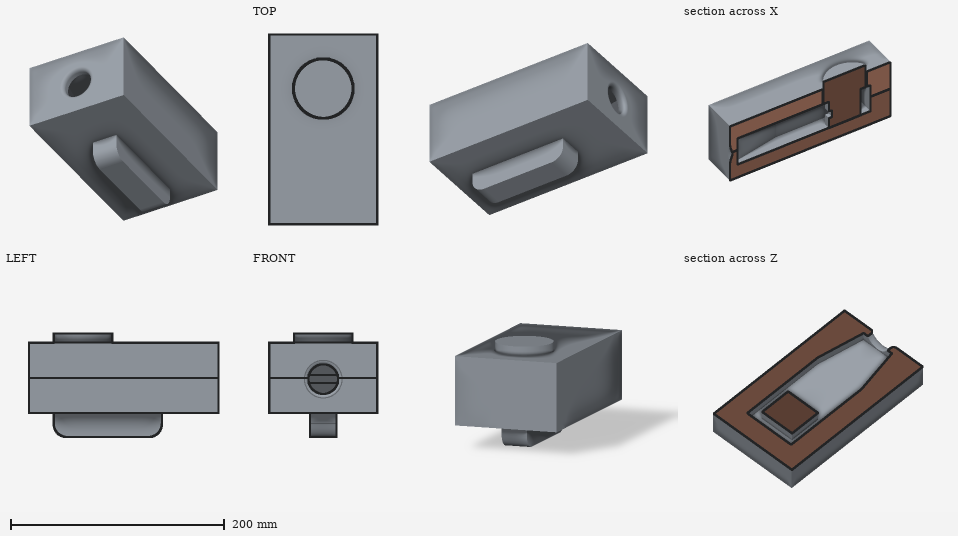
import cadquery as cq
import math

width = 101.5
length = 177.8
half_height = 32.98
front_y = -length / 2

button_diameter = 55.0
bore_diameter = 56.4
button_rise = 8.5
button_y = length / 2 - width / 2

hole_radius = 13.9
mouth_round = 3.7
hole_z = -1.2
front_wall = 8.4

chamber_front_half_width = 18.1
chamber_back_half_width = bore_diameter / 2
chamber_half_height = 15.5
flare_angle = 11.0
chamber_front_y = front_y + front_wall
chamber_back_y = button_y + bore_diameter / 2
chamber_floor_z = hole_z - chamber_half_height
chamber_ceiling_z = hole_z + chamber_half_height

stem_width = 39.1
stem_depth = 35.5
slot_height = 7.6
slot_depth = 3.5

keel_width = 25.2
keel_length = 101.5
keel_drop = 22.5
keel_corner_radius = 12.6
keel_center_y = 15.0


def make_chamber():
    flare_width = chamber_back_half_width - chamber_front_half_width
    flare_length = flare_width / math.tan(math.radians(flare_angle))
    flare_end_y = chamber_front_y + flare_length
    return (
        cq.Workplane("XY", origin=(0, 0, chamber_floor_z))
        .moveTo(-chamber_front_half_width, chamber_front_y)
        .lineTo(chamber_front_half_width, chamber_front_y)
        .lineTo(chamber_back_half_width, flare_end_y)
        .lineTo(chamber_back_half_width, chamber_back_y)
        .lineTo(-chamber_back_half_width, chamber_back_y)
        .lineTo(-chamber_back_half_width, flare_end_y)
        .close()
        .extrude(2 * chamber_half_height)
    )


def make_front_hole():
    """Revolve the hole profile (radius, depth) with its quarter-round mouth."""
    mouth_radius = hole_radius + mouth_round
    arc_offset = mouth_round * (1 - math.sqrt(0.5))
    return (
        cq.Workplane("XY", origin=(0, front_y, hole_z))
        .lineTo(mouth_radius, 0)
        .threePointArc((hole_radius + arc_offset, arc_offset), (hole_radius, mouth_round))
        .lineTo(hole_radius, front_wall)
        .lineTo(0, front_wall)
        .close()
        .revolve(360, (0, 0, 0), (0, 1, 0))
    )


def make_half_block(bottom_z):
    block = cq.Workplane("XY").box(width, length, half_height, centered=(True, True, False))
    return block.translate((0, 0, bottom_z))


def make_upper_housing():
    bore = (
        cq.Workplane("XY", origin=(0, button_y, chamber_ceiling_z))
        .circle(bore_diameter / 2)
        .extrude(half_height - chamber_ceiling_z)
    )
    return make_half_block(0).cut(make_chamber()).cut(make_front_hole()).cut(bore)


def make_lower_housing():
    keel = (
        cq.Workplane("XY", origin=(0, keel_center_y, -half_height - keel_drop))
        .box(keel_width, keel_length, keel_drop, centered=(True, True, False))
        .edges("|X and <Z")
        .fillet(keel_corner_radius)
    )
    return make_half_block(-half_height).cut(make_chamber()).cut(make_front_hole()).union(keel)


def make_button():
    cap = (
        cq.Workplane("XY", origin=(0, button_y, chamber_ceiling_z))
        .circle(button_diameter / 2)
        .extrude(half_height + button_rise - chamber_ceiling_z)
    )
    stem = (
        cq.Workplane("XY", origin=(0, button_y, chamber_floor_z))
        .box(stem_width, stem_depth, 2 * chamber_half_height, centered=(True, True, False))
    )
    slot = (
        cq.Workplane("XY", origin=(0, button_y - stem_depth / 2, hole_z))
        .box(stem_width, 2 * slot_depth, slot_height)
    )
    return cap.union(stem.cut(slot))


upper_housing = make_upper_housing()
lower_housing = make_lower_housing()
button = make_button()

result = cq.Compound.makeCompound([upper_housing.val(), lower_housing.val(), button.val()])